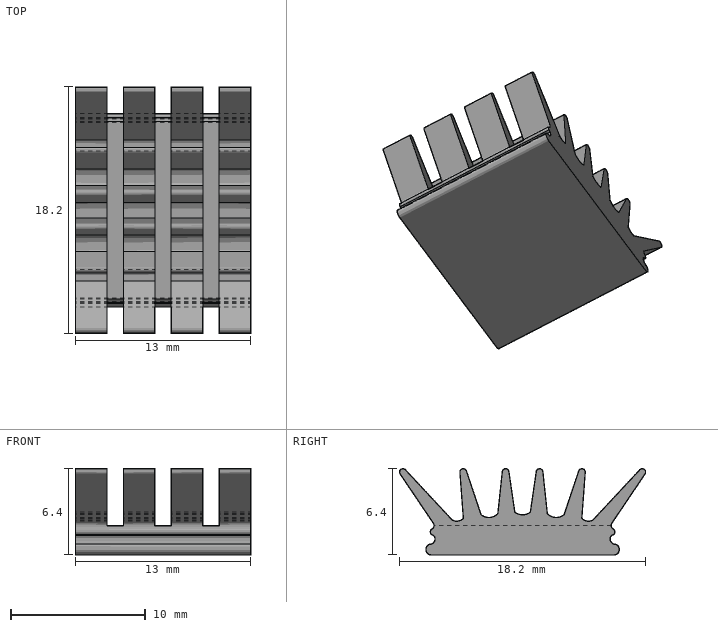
import cadquery as cq
import math

length = 13.0
width = 18.25
height = 6.4

tip_radius = 0.25
tip_z = height - tip_radius
inner_tip_y = 1.26
middle_tip_y = 4.4
outer_tip_y = width / 2 - tip_radius

inner_root = (0.57, 3.18)
inner_valley_z = 3.0
inner_fin_foot = (1.85, 3.07)
middle_valley = (2.5, 2.8)
middle_fin_foot = (3.07, 3.0)
middle_root = (4.4, 2.72)
outer_valley = (4.93, 2.52)
outer_root = (5.22, 2.61)

neck_top = (6.65, 2.39)
neck_middle = (6.57, 2.19)
bead_top = (6.75, 1.92)
bead_middle = (6.85, 1.7)
bead_bottom = (6.75, 1.51)
groove_top = (6.59, 1.45)
groove_middle = (6.5, 1.2)
groove_bottom = (6.9, 0.8)
foot_radius = 0.4
foot_y = 7.17
foot_bottom = (foot_y - foot_radius, 0)

row_count = 4
slot_width = 1.2
slot_floor_z = 2.19
row_length = (length - (row_count - 1) * slot_width) / row_count


def tangent_point(tip_y, root, side):
    """Point where the straight fin side rising from root meets the round tip.

    side is -1 for the fin side facing the mid plane and +1 for the one facing away.
    """
    dy, dz = root[0] - tip_y, root[1] - tip_z
    angle = math.atan2(dz, dy) + side * math.acos(tip_radius / math.hypot(dy, dz))
    return (tip_y + tip_radius * math.cos(angle), tip_z + tip_radius * math.sin(angle))


def add_fin(outline, tip_y, inner, outer):
    """Draw one fin from its inner root, over the round tip, to its outer root."""
    outline = outline.lineTo(*tangent_point(tip_y, inner, -1))
    outline = outline.threePointArc((tip_y, height), tangent_point(tip_y, outer, 1))
    return outline.lineTo(*outer)


def half_profile():
    """Heat sink section on the +Y side of the mid plane."""
    outline = cq.Workplane("YZ", origin=(-length / 2, 0, 0)).moveTo(0, 0)
    outline = outline.lineTo(0, inner_valley_z)
    valley_rise = inner_root[1] - inner_valley_z
    valley_radius = (inner_root[0] ** 2 + valley_rise**2) / (2 * valley_rise)
    outline = outline.radiusArc(inner_root, -valley_radius)
    outline = add_fin(outline, inner_tip_y, inner_root, inner_fin_foot)
    outline = outline.threePointArc(middle_valley, middle_fin_foot)
    outline = add_fin(outline, middle_tip_y, middle_fin_foot, middle_root)
    outline = outline.threePointArc(outer_valley, outer_root)
    outline = add_fin(outline, outer_tip_y, outer_root, neck_top)
    outline = outline.threePointArc(neck_middle, bead_top)
    outline = outline.threePointArc(bead_middle, bead_bottom)
    outline = outline.lineTo(*groove_top)
    outline = outline.threePointArc(groove_middle, groove_bottom)
    outline = outline.threePointArc((foot_y, foot_radius), foot_bottom)
    return outline.close()


def slot(index):
    """Cross slot on the +X side of the row of fins with this index."""
    start_x = -length / 2 + row_length + index * (row_length + slot_width)
    return (
        cq.Workplane("XY", origin=(start_x, 0, slot_floor_z))
        .box(slot_width, width, height, centered=(False, True, False))
    )


half = half_profile().extrude(length)
result = half.union(half.mirror("XZ"))
for slot_index in range(row_count - 1):
    result = result.cut(slot(slot_index))